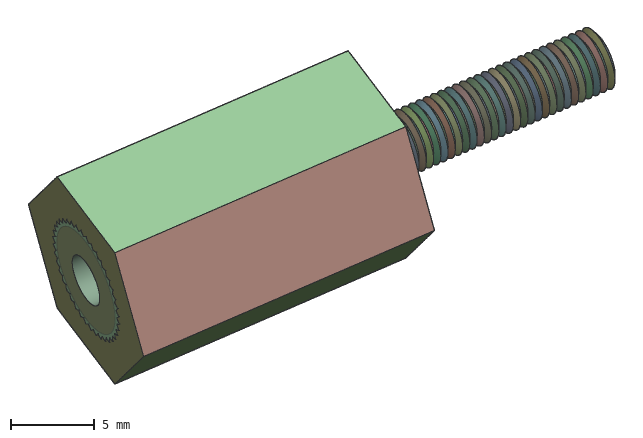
import cadquery as cq
import math

hex_across_corners = 13.85
housing_length = 20.02

insert_length = 8.0
core_diameter = 7.0
knurl_tip_diameter = 8.0
knurl_root_diameter = 7.42
knurl_teeth = 40
bore_diameter = 3.3

overall_length = 35.5
stud_diameter = 4.0
thread_root_diameter = 3.2
shoulder_length = 0.78
ridge_count = 30
threaded_length = 14.98
stud_seat_depth = insert_length

stud_start = housing_length - stud_seat_depth
shoulder_end = housing_length + shoulder_length
thread_start = overall_length - threaded_length
thread_pitch = threaded_length / ridge_count


def plane_at(y):
    """XZ plane at the given Y, extruding toward +Y."""
    return cq.Workplane(cq.Plane(origin=(0, y, 0), xDir=(1, 0, 0), normal=(0, 1, 0)))


def cylinder(diameter, y_start, y_end):
    """Round bar along Y between two Y positions."""
    return plane_at(y_start).circle(diameter / 2).extrude(y_end - y_start)


def knurled_prism():
    """Straight-knurled prism as long as the insert, with V-shaped teeth."""
    half_tooth_angle = math.pi / knurl_teeth
    points = []
    for tooth in range(knurl_teeth):
        tip_angle = 2 * tooth * half_tooth_angle
        root_angle = tip_angle + half_tooth_angle
        for diameter, angle in ((knurl_tip_diameter, tip_angle), (knurl_root_diameter, root_angle)):
            points.append((diameter / 2 * math.cos(angle), diameter / 2 * math.sin(angle)))
    return plane_at(0).polyline(points).close().extrude(insert_length)


def make_insert():
    """Knurled sleeve; the end faces of its core and its knurl ring stay separate faces."""
    core = cylinder(core_diameter, 0, insert_length)
    bore = cylinder(bore_diameter, 0, insert_length)
    knurl_ring = knurled_prism().cut(core)
    return knurl_ring.union(core, clean=False).cut(bore, clean=False)


def make_thread():
    """Round bar whose thread is a row of V-shaped rings."""
    root_radius = thread_root_diameter / 2
    profile = [(0, thread_start), (root_radius, thread_start)]
    for ridge in range(ridge_count):
        ridge_start = thread_start + ridge * thread_pitch
        profile.append((stud_diameter / 2, ridge_start + thread_pitch / 2))
        profile.append((root_radius, ridge_start + thread_pitch))
    profile.append((0, overall_length))
    return cq.Workplane("XY").polyline(profile).close().revolve(360, (0, 0, 0), (0, 1, 0))


def make_stud():
    """Threaded bar on a plain shank, which is seated in the housing and ends in a shoulder."""
    shank = cylinder(stud_diameter, stud_start, shoulder_end)
    return shank.union(make_thread())


def make_housing():
    """Hexagonal bar with a knurled recess for the insert and a round seat for the stud."""
    bar = plane_at(0).polygon(6, hex_across_corners).extrude(housing_length)
    stud_seat = cylinder(stud_diameter, stud_start, housing_length)
    return bar.cut(knurled_prism()).cut(stud_seat)


housing = make_housing()
insert = make_insert()
stud = make_stud()

result = cq.Compound.makeCompound([housing.val(), insert.val(), stud.val()])